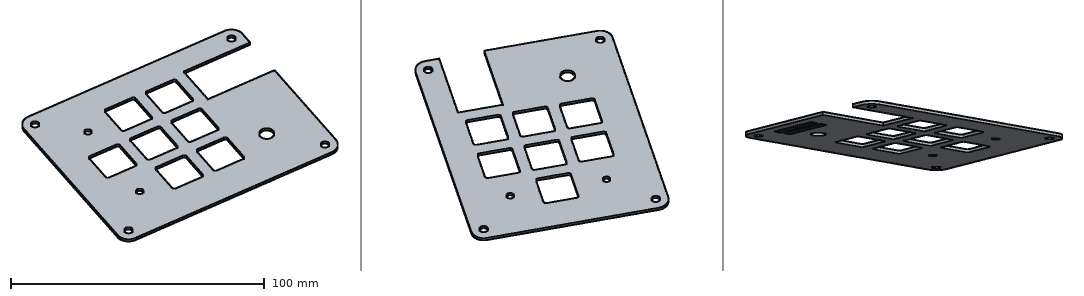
import cadquery as cq

plate_width = 80.0
plate_length = 101.3
overall_height = 1.5
strip_height = 0.2
plate_thickness = overall_height - strip_height
corner_radius = 5.1

screw_hole_diameter = 3.4
screw_hole_inset = 5.1

notch_width = 18.2
notch_depth = 30.9
notch_left_inset = 10.8

key_size = 14.2
key_corner_radius = 1.0
key_pitch = 19.0
key_middle_x = -1.3
key_top_row_y = 7.7
key_rows = [(-1, 0, 1), (-1, 0, 1), (0,)]

knob_hole_diameter = 6.0
knob_hole_center = (17.6, 29.3)
small_hole_diameter = 3.0
small_hole_centers = [(-20.4, -30.1), (18.7, -30.3)]

strip_length = 22.3
strip_width = 2.8
strip_pitch = 4.9
strip_center_x = 13.2
strip_first_y = 44.6
strip_count = 2


def make_plate():
    """Flat plate with rounded vertical corners."""
    plate = cq.Workplane("XY").rect(plate_width, plate_length).extrude(plate_thickness)
    return plate.edges("|Z").fillet(corner_radius)


def hole_cutter(centers, diameter):
    """Round cutters through the plate at the given centres."""
    return cq.Workplane("XY").pushPoints(centers).circle(diameter / 2).extrude(plate_thickness)


def screw_hole_cutter():
    x = plate_width / 2 - screw_hole_inset
    y = plate_length / 2 - screw_hole_inset
    return hole_cutter([(-x, -y), (x, -y), (-x, y), (x, y)], screw_hole_diameter)


def notch_cutter():
    """Rectangular block that opens through the +Y edge."""
    return (
        cq.Workplane("XY")
        .box(notch_width, notch_depth, plate_thickness, centered=False)
        .translate((notch_left_inset - plate_width / 2, plate_length / 2 - notch_depth, 0))
    )


def key_window_cutter():
    """Rounded square cutters at every occupied grid position."""
    centers = [
        (key_middle_x + column * key_pitch, key_top_row_y - row * key_pitch)
        for row, columns in enumerate(key_rows)
        for column in columns
    ]
    windows = cq.Workplane("XY").pushPoints(centers).rect(key_size, key_size).extrude(plate_thickness)
    return windows.edges("|Z").fillet(key_corner_radius)


def underside_strips():
    """Parallel strips standing proud of the plate's underside."""
    centers = [(strip_center_x, strip_first_y - i * strip_pitch) for i in range(strip_count)]
    return cq.Workplane("XY").pushPoints(centers).rect(strip_length, strip_width).extrude(-strip_height)


result = (
    make_plate()
    .cut(notch_cutter())
    .cut(key_window_cutter())
    .cut(screw_hole_cutter())
    .cut(hole_cutter([knob_hole_center], knob_hole_diameter))
    .cut(hole_cutter(small_hole_centers, small_hole_diameter))
    .union(underside_strips())
)